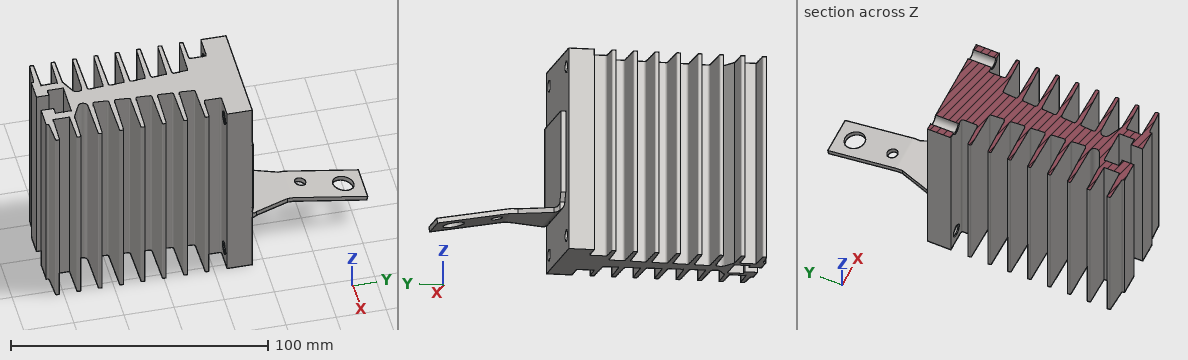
import cadquery as cq
import math


sink_width = 45.0
sink_depth = 80.0
sink_height = 80.0
half_width = sink_width / 2
margin = 2.6
cutter_reach = half_width + margin

plate_thickness = 10.1
neck_half_width = 12.7
screw_hole_diameter = 4.5
screw_hole_chamfer = 0.4
screw_hole_x = 17.3
screw_hole_end_inset = 6.3

fin_count = 8
first_fin_depth = 18.0
last_fin_depth = 77.6
fin_pitch = (last_fin_depth - first_fin_depth) / (fin_count - 1)
fin_tip_half_thickness = 0.8
fin_taper = 0.02
fin_tip_radius = 0.5
root_radius = 0.8

web_front_half_width = 6.1
web_narrowing = 0.05

stem_half_width = 10.3
shoulder_angle = 26.0
shoulder_radius = 2.0
channel_half_width = 6.9
slot_half_width = 4.0
channel_top_depth = 68.6
lip_depth = 74.9
foot_root_depth = 78.9
foot_fillet = 0.6

sheet_thickness = 2.0
bend_outer_radius = 3.9
bend_inner_radius = bend_outer_radius - sheet_thickness
base_top_z = 56.1
base_half_width = 16.3
base_taper_z = 23.9
shelf_top_z = 18.4
bend_start_half_width = 14.4
bend_end_half_width = 12.8
tab_half_width = 8.0
shelf_taper_end_y = 17.3
tab_bend_y = 19.5
tab_angle = 10.0
terminal_reach = 49.4

bolt_hole_diameter = 8.4
bolt_hole_y = 41.5
wire_hole_diameter = 4.4
wire_hole_y = 24.7
wire_hole_x = -1.5


def fin_depth(index):
    return first_fin_depth + index * fin_pitch


def fin_half_thickness(x):
    return fin_tip_half_thickness + fin_taper * (half_width - x)


def fin_front(index, x):
    return fin_depth(index) - fin_half_thickness(x)


def fin_back(index, x):
    return fin_depth(index) + fin_half_thickness(x)


def web_half_width(depth):
    return web_front_half_width - web_narrowing * (depth - first_fin_depth)


def side_cutter(outline):
    """Full-height prism from (x, depth) corners on the +X side."""
    corners = [(x, -depth) for x, depth in outline]
    return cq.Workplane("XY").polyline(corners).close().extrude(sink_height)


def neck_pocket():
    """Gap between the mounting plate and the first fin."""
    pocket = side_cutter([
        (cutter_reach, plate_thickness),
        (neck_half_width, plate_thickness),
        (neck_half_width, fin_front(0, neck_half_width)),
        (cutter_reach, fin_front(0, cutter_reach)),
    ])
    return pocket.edges("|Z and <X").fillet(root_radius)


def fin_pocket(index):
    """Gap between a fin and the next one, down to the tapered web."""
    front_x = web_half_width(fin_depth(index))
    back_x = web_half_width(fin_depth(index + 1))
    pocket = side_cutter([
        (cutter_reach, fin_back(index, cutter_reach)),
        (front_x, fin_back(index, front_x)),
        (back_x, fin_front(index + 1, back_x)),
        (cutter_reach, fin_front(index + 1, cutter_reach)),
    ])
    inner_edges = cq.selectors.BoxSelector(
        (0, -sink_depth, 0), (web_front_half_width + margin, 0, sink_height)
    )
    return pocket.edges("|Z").edges(inner_edges).fillet(root_radius)


def shoulder_pocket(index):
    """Gap with a rounded bottom whose rear side slopes out to the channel walls."""
    front_depth = fin_back(index, web_half_width(fin_depth(index)))
    shoulder_depth = fin_front(index + 1, stem_half_width)
    apex_x = stem_half_width - (shoulder_depth - front_depth) / math.tan(math.radians(shoulder_angle))
    pocket = side_cutter([
        (cutter_reach, fin_back(index, cutter_reach)),
        (apex_x, front_depth),
        (stem_half_width, shoulder_depth),
        (cutter_reach, fin_front(index + 1, cutter_reach)),
    ])
    return pocket.edges("|Z and <X").fillet(shoulder_radius)


def stem_pocket(index):
    """Gap between the last two fins, beside the channel wall, with sharp corners."""
    return side_cutter([
        (cutter_reach, fin_back(index, cutter_reach)),
        (stem_half_width, fin_back(index, stem_half_width)),
        (stem_half_width, fin_front(index + 1, stem_half_width)),
        (cutter_reach, fin_front(index + 1, cutter_reach)),
    ])


def foot_relief():
    """Space under the last fin, outside the foot."""
    tip_depth = fin_back(fin_count - 1, half_width)
    relief = side_cutter([
        (half_width, sink_depth),
        (neck_half_width, sink_depth),
        (neck_half_width, foot_root_depth),
        (half_width, tip_depth),
    ])
    return relief.edges("|Z and <X").edges(">Y").fillet(foot_fillet)


def nut_channel():
    """T-shaped channel open at the rear face."""
    channel_depth = lip_depth - channel_top_depth
    slot_depth = sink_depth - channel_top_depth
    channel = cq.Workplane("XY").box(
        2 * channel_half_width, channel_depth, sink_height, centered=(True, False, False)
    ).translate((0, -lip_depth, 0))
    slot = cq.Workplane("XY").box(
        2 * slot_half_width, slot_depth, sink_height, centered=(True, False, False)
    ).translate((0, -sink_depth, 0))
    return channel.union(slot)


def make_heat_sink():
    body = cq.Workplane("XY").box(
        sink_width, sink_depth, sink_height, centered=(True, False, False)
    ).translate((0, -sink_depth, 0))

    stem_gap = fin_count - 2
    shoulder_gap = stem_gap - 1
    pockets = [neck_pocket()]
    pockets += [fin_pocket(index) for index in range(shoulder_gap)]
    pockets += [shoulder_pocket(shoulder_gap), stem_pocket(stem_gap), foot_relief()]
    for pocket in pockets:
        body = body.cut(pocket).cut(pocket.mirror("YZ"))
    body = body.cut(nut_channel())

    for side in (-1, 1):
        tip_edges = cq.selectors.BoxSelector(
            (side * (half_width - fin_tip_radius), -sink_depth, 0),
            (side * (half_width + fin_tip_radius), -plate_thickness - margin, sink_height),
        )
        body = body.edges("|Z").edges(tip_edges).fillet(fin_tip_radius)

    screw_hole_radius = screw_hole_diameter / 2
    for x in (-screw_hole_x, screw_hole_x):
        for z in (screw_hole_end_inset, sink_height - screw_hole_end_inset):
            hole = cq.Workplane("XZ", origin=(x, 0, z)).circle(screw_hole_radius).extrude(plate_thickness)
            flare = cq.Workplane("XZ", origin=(x, -plate_thickness, z)).circle(
                screw_hole_radius + screw_hole_chamfer
            ).extrude(-screw_hole_chamfer, taper=45)
            body = body.cut(hole).cut(flare)
    return body


def arc_point(center, radius, angle):
    """Point on a circle in the YZ plane; the angle is measured from +Y toward +Z."""
    turn = math.radians(angle)
    return (center[0] + radius * math.cos(turn), center[1] + radius * math.sin(turn))


def make_terminal():
    base_bend = (bend_outer_radius, shelf_top_z + bend_inner_radius)
    tab_bend = (tab_bend_y, shelf_top_z - bend_outer_radius)
    base_bend_middle = 225
    tab_turn = 90 - tab_angle
    tab_bend_middle = 90 - tab_angle / 2
    tilt = math.radians(tab_angle)

    tab_start = arc_point(tab_bend, bend_outer_radius, tab_turn)
    tab_length = (terminal_reach - tab_start[0]) / math.cos(tilt)
    tab_end = (terminal_reach, tab_start[1] - tab_length * math.sin(tilt))
    tab_end_below = (
        tab_end[0] - sheet_thickness * math.sin(tilt),
        tab_end[1] - sheet_thickness * math.cos(tilt),
    )

    sheet = (
        cq.Workplane("YZ")
        .moveTo(0, base_top_z)
        .lineTo(sheet_thickness, base_top_z)
        .lineTo(sheet_thickness, base_bend[1])
        .threePointArc(arc_point(base_bend, bend_inner_radius, base_bend_middle), (base_bend[0], shelf_top_z))
        .lineTo(tab_bend_y, shelf_top_z)
        .threePointArc(arc_point(tab_bend, bend_outer_radius, tab_bend_middle), tab_start)
        .lineTo(*tab_end)
        .lineTo(*tab_end_below)
        .lineTo(*arc_point(tab_bend, bend_inner_radius, tab_turn))
        .threePointArc(
            arc_point(tab_bend, bend_inner_radius, tab_bend_middle),
            (tab_bend_y, shelf_top_z - sheet_thickness),
        )
        .lineTo(base_bend[0], shelf_top_z - sheet_thickness)
        .threePointArc(arc_point(base_bend, bend_outer_radius, base_bend_middle), (0, base_bend[1]))
        .close()
        .extrude(base_half_width, both=True)
    )

    front_right = [
        (base_half_width, base_top_z),
        (base_half_width, base_taper_z),
        (bend_start_half_width, base_bend[1]),
        (bend_start_half_width, 0),
    ]
    front_left = [(-x, z) for x, z in reversed(front_right)]
    front_shape = cq.Workplane("XZ").polyline(front_right + front_left).close().extrude(-terminal_reach)

    plan_right = [
        (base_half_width, 0),
        (base_half_width, sheet_thickness),
        (bend_start_half_width, sheet_thickness),
        (bend_end_half_width, bend_outer_radius),
        (tab_half_width, shelf_taper_end_y),
        (tab_half_width, terminal_reach),
    ]
    plan_left = [(-x, y) for x, y in reversed(plan_right)]
    plan_shape = cq.Workplane("XY").polyline(plan_right + plan_left).close().extrude(base_top_z)

    terminal = sheet.intersect(front_shape).intersect(plan_shape)

    tab_holes = [(0, bolt_hole_y, bolt_hole_diameter), (wire_hole_x, wire_hole_y, wire_hole_diameter)]
    for x, y, diameter in tab_holes:
        top_z = tab_start[1] - (y - tab_start[0]) * math.tan(tilt)
        tab_plane = cq.Plane(
            origin=(x, y, top_z), xDir=(1, 0, 0), normal=(0, math.sin(tilt), math.cos(tilt))
        )
        drill = cq.Workplane(tab_plane).circle(diameter / 2).extrude(-2 * sheet_thickness)
        terminal = terminal.cut(drill)
    return terminal


heat_sink = make_heat_sink()
terminal = make_terminal()
result = cq.Compound.makeCompound([heat_sink.val(), terminal.val()])